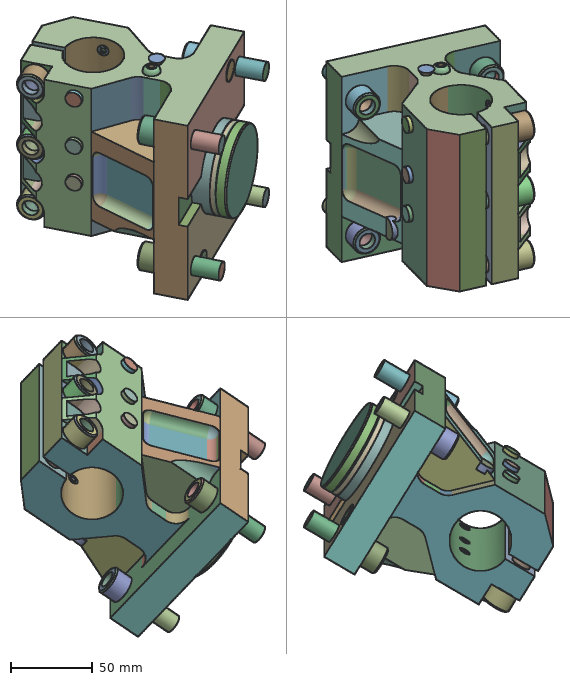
import cadquery as cq
import math


plate_front_x = 98.0
plate_thickness = 22.0
plate_back_x = plate_front_x + plate_thickness
plate_width = 108.0
plate_height = 130.0
plate_mid_z = plate_height / 2
keyway_width = 20.5
keyway_depth = 5.8

body_half_width = 35.0
body_bottom_z = 20.0
body_height = plate_height - body_bottom_z
body_chamfer = 15.0
body_end_x = 50.9
bore_x = 40.2
bore_radius = 19.0
slit_width = 3.9
neck_half_width = 13.0
neck_fillet = 10.0
neck_start_x = body_end_x + body_half_width - neck_half_width

web_half_height = 33.0
web_slope = math.atan2(plate_width / 2 - body_half_width, plate_front_x - body_end_x)
pocket_start_x = 52.0
pocket_end_x = 97.3
pocket_half_height = 20.0
pocket_depth = 6.6
pocket_fillet = 5.8
relief_inner_y = 42.2
relief_height = 8.1
relief_fillet = 8.8

head_radius = 9.1
head_height = 12.0
head_chamfer = 1.0
shank_radius = 6.1
socket_radius = 5.2
socket_depth = 5.0
socket_tip_depth = 3.0
plate_screw_y = 42.1
plate_screw_offset_z = 47.0
plate_shank_length = 40.0

clamp_screw_x = 10.2
clamp_screw_pitch = 45.0
clamp_mid_z = body_bottom_z + body_height / 2
clamp_recess_y = -20.0
clamp_recess_radius = 10.1
clamp_shank_length = 41.4
slot_radius = 8.5
slot_floor_y = -22.2

set_screw_radius = 5.2
set_screw_reach = 37.8
set_screw_levels = (58.6, 86.0, 121.2)
set_screw_tip_radius = 3.6
set_screw_tip_y = 18.5
set_screw_tip_hole = 2.0

spigot_radius = 30.1
spigot_length = 17.0
spigot_end_length = 1.1
spigot_end_step = 0.4
groove_start = 6.1
groove_width = 4.1
groove_depth = 2.0
ring_width = 3.2
ring_fillet = 0.5

nozzle_x = 79.8
nozzle_offset_y = 5.0
dome_height = 3.6
dome_base_radius = 5.7
dome_top_radius = 3.2
dome_shoulder_radius = 5.0
dome_shoulder_height = 2.2
dome_hole_radius = 2.0
dome_hole_depth = 2.8
plug_height = 3.2
plug_base_radius = 3.2
plug_top_radius = 5.1
cap_x = 61.3
cap_z = 38.5
cap_radius = 7.2
cap_face_y = 40.0
button_y = 26.1
button_offset_z = 54.1
button_radius = 7.0
button_height = 0.5


def block(x_range, y_range, z_range):
    """Axis-aligned box between pairs of coordinates."""
    size = [end - start for start, end in (x_range, y_range, z_range)]
    corner = (x_range[0], y_range[0], z_range[0])
    return cq.Workplane("XY").box(*size, centered=False).translate(corner)


def rod(radius, length, start, direction):
    """Round bar from a start point along a direction."""
    return cq.Workplane(cq.Solid.makeCylinder(radius, length, cq.Vector(*start), cq.Vector(*direction)))


def cone(base_radius, top_radius, height, start, direction):
    """Cone or frustum from a start point along a direction."""
    solid = cq.Solid.makeCone(base_radius, top_radius, height, cq.Vector(*start), cq.Vector(*direction))
    return cq.Workplane(solid)


def screw_head(seat, outward):
    """Chamfered screw head with a drilled socket, standing on its seat point."""
    def along(distance):
        return tuple(s + distance * d for s, d in zip(seat, outward))

    inward = tuple(-d for d in outward)
    head = rod(head_radius, head_height - head_chamfer, seat, outward)
    crown_radius = head_radius - head_chamfer
    crown = cone(head_radius, crown_radius, head_chamfer, along(head_height - head_chamfer), outward)
    socket = rod(socket_radius, socket_depth, along(head_height), inward)
    tip = cone(socket_radius, 0, socket_tip_depth, along(head_height - socket_depth), inward)
    return head.union(crown).cut(socket).cut(tip)


def make_plate():
    plate = block((plate_front_x, plate_back_x), (-plate_width / 2, plate_width / 2), (0, plate_height))
    keyway = block(
        (plate_back_x - keyway_depth, plate_back_x),
        (-plate_width / 2, plate_width / 2),
        (plate_mid_z - keyway_width / 2, plate_mid_z + keyway_width / 2),
    )
    return plate.cut(keyway)


def make_body():
    """Clamp body tapering to the neck, split through the bore."""
    upper = [
        (0, body_half_width - body_chamfer),
        (body_chamfer, body_half_width),
        (body_end_x, body_half_width),
        (neck_start_x, neck_half_width),
        (plate_front_x, neck_half_width),
        (plate_front_x, plate_width / 2),
        (plate_back_x - keyway_depth, plate_width / 2),
    ]
    lower = [(x, -y) for x, y in reversed(upper)]
    body = cq.Workplane("XY").polyline(upper + lower).close().extrude(body_height)
    for x in (neck_start_x, plate_front_x):
        for y in (-neck_half_width, neck_half_width):
            corner = cq.selectors.NearestToPointSelector((x, y, body_height / 2))
            body = body.edges("|Z").edges(corner).fillet(neck_fillet)
    body = body.translate((0, 0, body_bottom_z))
    bore = rod(bore_radius, body_height, (bore_x, 0, body_bottom_z), (0, 0, 1))
    slit = block((0, bore_x), (-slit_width / 2, slit_width / 2), (body_bottom_z, plate_height))
    return body.cut(bore).cut(slit)


def make_side_web():
    """Web on the -Y side with its sunken pocket and lower corner relief."""
    web = (
        cq.Workplane("XY")
        .workplane(offset=plate_mid_z - web_half_height)
        .polyline([
            (body_end_x, -body_half_width),
            (plate_front_x, -plate_width / 2),
            (plate_front_x, 0),
            (neck_start_x, 0),
        ])
        .close()
        .extrude(2 * web_half_height)
    )
    pocket_length = (pocket_end_x - pocket_start_x) / math.cos(web_slope)
    pocket = (
        cq.Workplane("XY")
        .box(pocket_length, 2 * pocket_depth, 2 * pocket_half_height, centered=(False, True, True))
        .edges(">Y or |Y")
        .fillet(pocket_fillet)
    )
    start_y = -body_half_width - (pocket_start_x - body_end_x) * math.tan(web_slope)
    pocket = pocket.rotate((0, 0, 0), (0, 0, 1), -math.degrees(web_slope))
    pocket = pocket.translate((pocket_start_x, start_y, plate_mid_z))
    web_bottom_z = plate_mid_z - web_half_height
    relief = block(
        (body_end_x, plate_front_x),
        (-plate_width / 2, -relief_inner_y),
        (web_bottom_z - relief_fillet, web_bottom_z + relief_height),
    )
    relief = relief.edges(">Y and >Z").fillet(relief_fillet)
    return web.cut(pocket).cut(relief)


def clamp_recess(z, radius, floor_y):
    """Round-ended recess open to the clamp face and the -Y face."""
    depth = body_half_width + floor_y
    end = rod(radius, depth, (clamp_screw_x, floor_y, z), (0, -1, 0))
    run = block((0, clamp_screw_x), (-body_half_width, floor_y), (z - radius, z + radius))
    return end.union(run)


def add_clamp_screws(part):
    screw_levels = [clamp_mid_z + i * clamp_screw_pitch for i in (-1, 0, 1)]
    for z in screw_levels:
        part = part.cut(clamp_recess(z, clamp_recess_radius, clamp_recess_y))
    corner_x = (0, clamp_screw_x + clamp_recess_radius)
    corner_y = (-body_half_width, clamp_recess_y)
    part = part.cut(block(corner_x, corner_y, (body_bottom_z, screw_levels[0])))
    part = part.cut(block(corner_x, corner_y, (screw_levels[-1], plate_height)))
    for side in (-1, 1):
        part = part.cut(clamp_recess(clamp_mid_z + side * clamp_screw_pitch / 2, slot_radius, slot_floor_y))
    for z in screw_levels:
        seat = (clamp_screw_x, clamp_recess_y, z)
        part = part.union(screw_head(seat, (0, -1, 0)))
        part = part.union(rod(shank_radius, clamp_shank_length, seat, (0, 1, 0)))
    return part


def add_plate_screws(part):
    for y in (-plate_screw_y, plate_screw_y):
        for z in (plate_mid_z - plate_screw_offset_z, plate_mid_z + plate_screw_offset_z):
            seat = (plate_front_x, y, z)
            part = part.union(screw_head(seat, (-1, 0, 0)))
            part = part.union(rod(shank_radius, plate_shank_length, seat, (1, 0, 0)))
    return part


def add_set_screws(part):
    for side in (-1, 1):
        for z in set_screw_levels:
            tip = (bore_x, side * set_screw_tip_y, z)
            outward = (0, side, 0)
            screw_start = (bore_x, side * bore_radius, z)
            part = part.union(rod(set_screw_radius, set_screw_reach - bore_radius, screw_start, outward))
            part = part.union(rod(set_screw_tip_radius, bore_radius - set_screw_tip_y, tip, outward))
            part = part.cut(rod(set_screw_tip_hole, set_screw_tip_hole, tip, outward))
    return part


def make_spigot():
    """Spigot with a seal groove, a seal ring and a slightly tapered end."""
    start_x = plate_back_x - keyway_depth
    straight_length = keyway_depth + spigot_length - spigot_end_length
    axis = (1, 0, 0)
    spigot = rod(spigot_radius, straight_length, (start_x, 0, plate_mid_z), axis)
    end_point = (start_x + straight_length, 0, plate_mid_z)
    end = cone(spigot_radius, spigot_radius - spigot_end_step, spigot_end_length, end_point, axis)
    groove_point = (plate_back_x + groove_start, 0, plate_mid_z)
    core_radius = spigot_radius - groove_depth
    groove = rod(spigot_radius, groove_width, groove_point, axis)
    groove = groove.cut(rod(core_radius, groove_width, groove_point, axis))
    ring = rod(spigot_radius, ring_width, groove_point, axis).edges().fillet(ring_fillet)
    return spigot.union(end).cut(groove).union(ring)


def make_top_fittings():
    """Domed nozzle with a blind hole beside a flared plug."""
    dome_y = -nozzle_offset_y
    dome = (
        cq.Workplane("XZ")
        .lineTo(dome_base_radius, 0)
        .threePointArc((dome_shoulder_radius, dome_shoulder_height), (dome_top_radius, dome_height))
        .lineTo(0, dome_height)
        .close()
        .revolve(360, (0, 0, 0), (0, 1, 0))
        .translate((nozzle_x, dome_y, plate_height))
    )
    hole_start = (nozzle_x, dome_y, plate_height + dome_height)
    plug_start = (nozzle_x, nozzle_offset_y, plate_height)
    plug = cone(plug_base_radius, plug_top_radius, plug_height, plug_start, (0, 0, 1))
    return dome.union(plug).cut(rod(dome_hole_radius, dome_hole_depth, hole_start, (0, 0, -1)))


side_web = make_side_web()
opposite_web = side_web.rotate((0, 0, plate_mid_z), (1, 0, plate_mid_z), 180)

result = make_body().union(make_plate()).union(side_web).union(opposite_web)
result = add_clamp_screws(result)
result = add_plate_screws(result)
result = add_set_screws(result)
result = result.union(make_spigot()).union(make_top_fittings())

cap_start = (cap_x, body_half_width, cap_z)
result = result.union(rod(cap_radius, cap_face_y - body_half_width, cap_start, (0, 1, 0)))

for side in (-1, 1):
    button_start = (plate_back_x, side * button_y, plate_mid_z + side * button_offset_z)
    result = result.union(rod(button_radius, button_height, button_start, (1, 0, 0)))